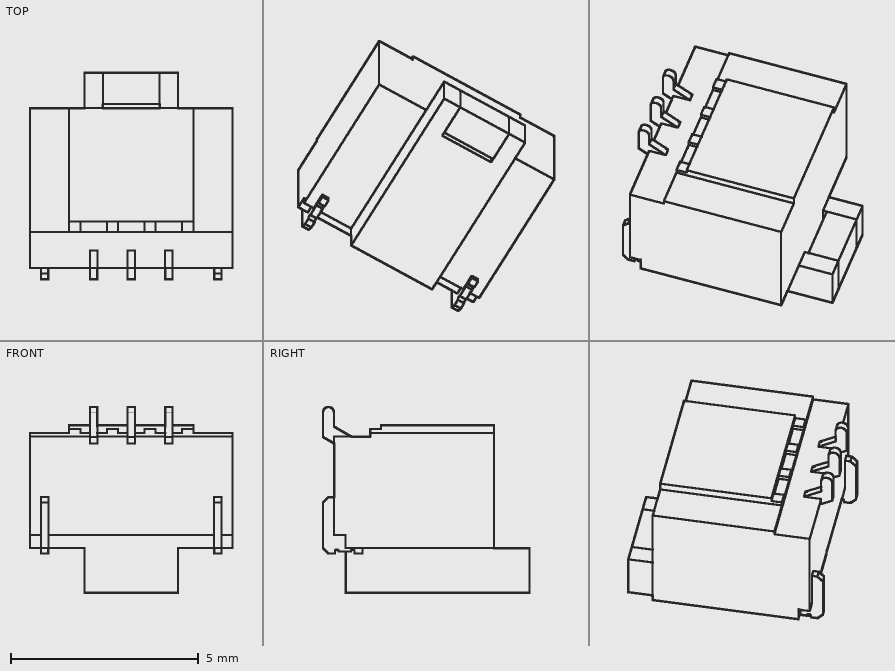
import cadquery as cq
import math


housing_width = 5.4
housing_depth = 4.255
ledge_height = 2.965
deck_height = 3.065
ledge_depth = 0.955
front_recess_depth = 0.31
front_recess_height = 0.35

cover_width = 3.315
cover_height = 3.27
cover_front = 1.245
tab_height = 3.175
tab_gap = 0.71

guide_width = 2.495
guide_height = 1.195
guide_back = 5.205
plunger_width = 1.505
plunger_depth = 0.84

contact_reach = 0.295
contact_pitch = 1.0
terminal_width = 0.205
terminal_top = 3.755
terminal_bend_height = 2.955
terminal_root_depth = 0.47
terminal_slope = math.radians(30)
anchor_width = 0.2
anchor_offset = 2.305
anchor_top = 1.36
anchor_bottom = -0.15
anchor_depth = 0.76
anchor_chamfer = 0.15
anchor_notch_front = 0.03
anchor_notch_back = 0.55
anchor_notch_top = -0.095
anchor_relief_radius = 0.05


def box(width, y_range, z_range, x_center=0):
    """Box centred on x_center that spans the given Y and Z ranges."""
    y_start, y_end = y_range
    z_start, z_end = z_range
    return (
        cq.Workplane("XY")
        .box(width, y_end - y_start, z_end - z_start, centered=(True, False, False))
        .translate((x_center, y_start, z_start))
    )


def side_plane(x_center, width):
    """YZ sketch plane from which an extrusion by width is centred on x_center."""
    return cq.Workplane("YZ", origin=(x_center - width / 2, 0, 0))


def make_shell():
    """Main block with the front ledge and the step along its lower front edge."""
    return (
        side_plane(0, housing_width)
        .moveTo(front_recess_depth, 0)
        .lineTo(housing_depth, 0)
        .lineTo(housing_depth, deck_height)
        .lineTo(ledge_depth, deck_height)
        .lineTo(ledge_depth, ledge_height)
        .lineTo(0, ledge_height)
        .lineTo(0, front_recess_height)
        .lineTo(front_recess_depth, front_recess_height)
        .close()
        .extrude(housing_width)
    )


def make_cover():
    """Raised cover with a front strip that three gaps divide into four tabs."""
    cover = box(cover_width, (cover_front, housing_depth), (deck_height, cover_height))
    strip = box(cover_width, (ledge_depth, cover_front), (deck_height, tab_height))
    for index in (-1, 0, 1):
        gap = box(
            tab_gap, (ledge_depth, cover_front), (deck_height, tab_height), index * contact_pitch
        )
        strip = strip.cut(gap)
    return cover.union(strip)


def make_guide():
    """Guide block with two arms that reach past the back of the housing."""
    guide = box(guide_width, (front_recess_depth, guide_back), (-guide_height, 0))
    slot = box(plunger_width, (housing_depth, guide_back), (-guide_height, 0))
    return guide.cut(slot)


def make_terminal(x_center):
    """Upright round-topped terminal on a foot that slopes into the ledge."""
    radius = contact_reach / 2
    foot_rise = terminal_root_depth * math.tan(terminal_slope)
    foot_drop = contact_reach * math.tan(terminal_slope)
    return (
        side_plane(x_center, terminal_width)
        .moveTo(-contact_reach, terminal_bend_height)
        .lineTo(0, terminal_bend_height - foot_drop)
        .lineTo(terminal_root_depth, ledge_height)
        .lineTo(0, ledge_height + foot_rise)
        .lineTo(0, terminal_top - radius)
        .threePointArc((-radius, terminal_top), (-contact_reach, terminal_top - radius))
        .close()
        .extrude(terminal_width)
    )


def make_anchor(x_center):
    """L-shaped anchor with a bottom notch that has round corner reliefs."""
    front = -contact_reach
    anchor = (
        side_plane(x_center, anchor_width)
        .moveTo(front + anchor_chamfer, anchor_bottom)
        .lineTo(anchor_depth, anchor_bottom)
        .lineTo(anchor_depth, 0)
        .lineTo(front_recess_depth, 0)
        .lineTo(front_recess_depth, front_recess_height)
        .lineTo(0, front_recess_height)
        .lineTo(0, anchor_top)
        .lineTo(front + anchor_chamfer, anchor_top)
        .lineTo(front, anchor_top - anchor_chamfer)
        .lineTo(front, anchor_bottom + anchor_chamfer)
        .close()
        .extrude(anchor_width)
    )
    notch = box(
        anchor_width, (anchor_notch_front, anchor_notch_back), (anchor_bottom, anchor_notch_top), x_center
    )
    reliefs = (
        side_plane(x_center, anchor_width)
        .pushPoints([
            (anchor_notch_front + anchor_relief_radius, anchor_notch_top),
            (anchor_notch_back - anchor_relief_radius, anchor_notch_top),
        ])
        .circle(anchor_relief_radius)
        .extrude(anchor_width)
    )
    return anchor.cut(notch).cut(reliefs)


def make_housing():
    """Housing in one piece with its cover, guide and contacts."""
    housing = make_shell().union(make_cover()).union(make_guide())
    for index in (-1, 0, 1):
        housing = housing.union(make_terminal(index * contact_pitch))
    for side in (-1, 1):
        housing = housing.union(make_anchor(side * anchor_offset))
    return housing


def make_plunger():
    """Plunger that fills the outer end of the slot between the guide arms."""
    return box(plunger_width, (guide_back - plunger_depth, guide_back), (-guide_height, 0))


housing = make_housing()
plunger = make_plunger()

result = cq.Compound.makeCompound([housing.val(), plunger.val()])